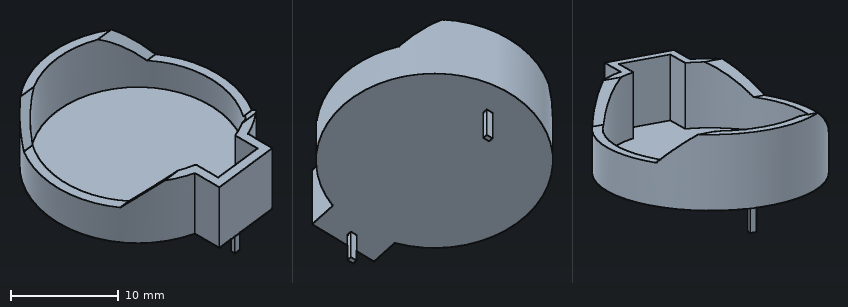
import cadquery as cq

cup_radius = 11.05
wall = 1.0
cavity_radius = cup_radius - wall
cup_height = 7.5
floor_thickness = 1.0
hollow_depth = cup_height - floor_thickness

overall_length = 24.5
box_end = overall_length - cup_radius
box_width = 7.47
pocket_end = box_end - wall
pocket_width = 5.54
pocket_length = 4.0

low_rim_height = 4.3
notch_bottom_half = 6.0
notch_top_half = 9.0

overall_height = 11.0
pin_thickness = 0.51
pin_width = 0.69
pin_length = overall_height - cup_height
pin_spacing = 20.0
box_pin_x = 12.13
cup_pin_x = box_pin_x - pin_spacing


def make_block(start_x, length, width, start_z, height):
    """Block running +X and +Z from its start, centred on Y = 0."""
    return cq.Workplane("XY", origin=(start_x, 0, start_z)).box(
        length, width, height, centered=(False, True, False)
    )


def make_cavity():
    """Round cavity above the floor."""
    return (
        cq.Workplane("XY", origin=(0, 0, floor_thickness))
        .circle(cavity_radius)
        .extrude(hollow_depth)
    )


def make_pocket():
    """Rectangular pocket that opens the side box into the round cavity."""
    return make_block(
        pocket_end - pocket_length, pocket_length, pocket_width, floor_thickness, hollow_depth
    )


def make_notch():
    """Trapezoid through the cup along Y, widening towards the rim."""
    return (
        cq.Workplane("XZ")
        .moveTo(-notch_bottom_half, low_rim_height)
        .lineTo(notch_bottom_half, low_rim_height)
        .lineTo(notch_top_half, cup_height)
        .lineTo(-notch_top_half, cup_height)
        .close()
        .extrude(cup_radius, both=True)
    )


def make_housing():
    """Cup and side box in one piece, hollowed down to a common flat floor."""
    housing = cq.Workplane("XY").circle(cup_radius).extrude(cup_height)
    side_box = make_block(0, box_end, box_width, 0, cup_height)
    housing = housing.union(side_box, clean=False)
    for hollow in (make_cavity(), make_pocket(), make_notch()):
        housing = housing.cut(hollow, clean=False)
    return housing


def make_pin(center_x):
    """Flat terminal pin hanging from the underside of the floor."""
    return make_block(center_x - pin_thickness / 2, pin_thickness, pin_width, -pin_length, pin_length)


housing = make_housing()
pins = [make_pin(center_x) for center_x in (cup_pin_x, box_pin_x)]

result = cq.Compound.makeCompound([housing.solids().val(), *[pin.val() for pin in pins]])